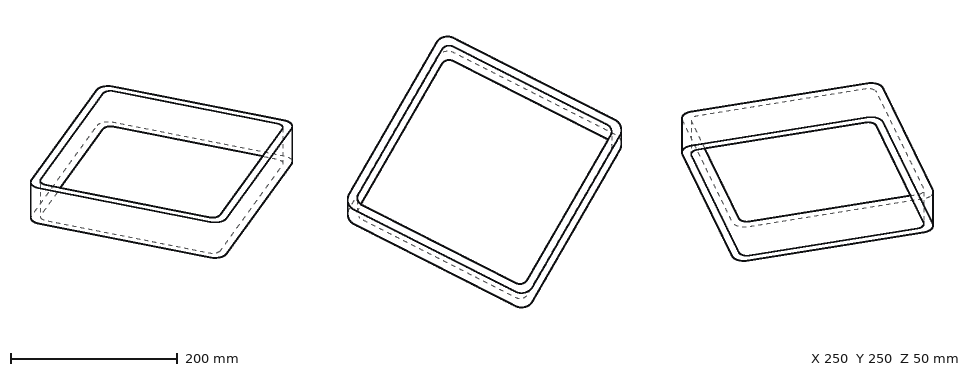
import cadquery as cq

side = 250.0
height = 50.0
wall = 10.0
outer_radius = 15.0
inner_radius = 10.0


def rounded_square_block(width, corner_radius):
    """Square block standing on Z = 0 with rounded vertical edges."""
    block = cq.Workplane("XY").box(width, width, height, centered=(True, True, False))
    return block.edges("|Z").fillet(corner_radius)


outer_block = rounded_square_block(side, outer_radius)
opening = rounded_square_block(side - 2 * wall, inner_radius)
result = outer_block.cut(opening)